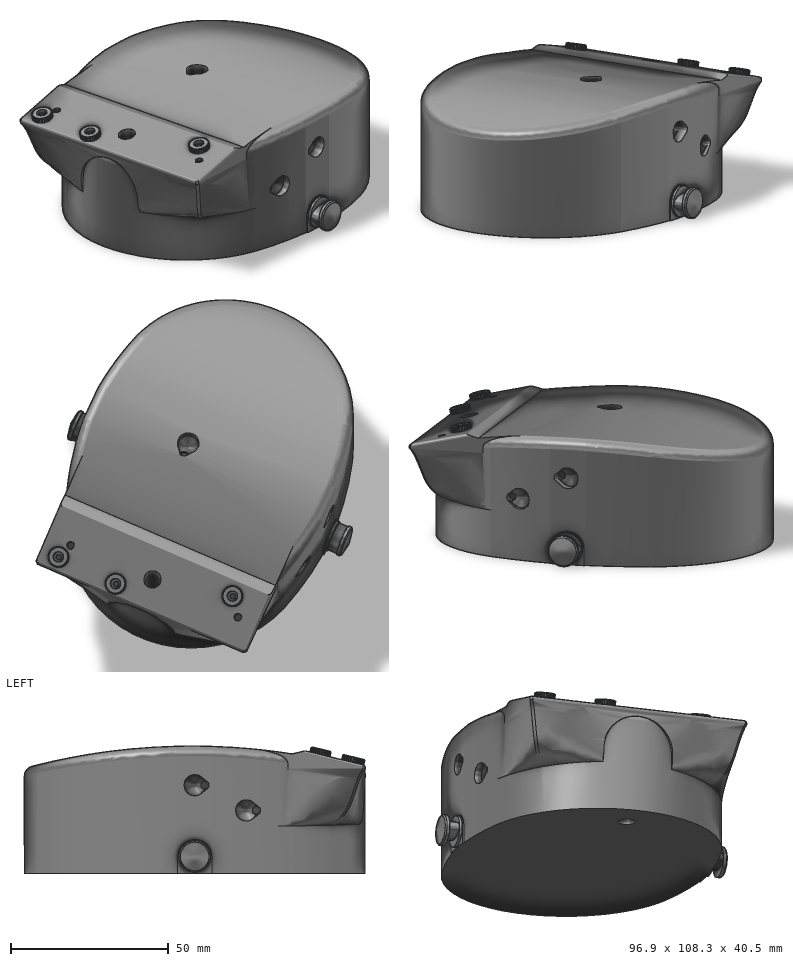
import cadquery as cq
import math

length = 108.3
height = 40.5
overall_width = 96.9
half_length = length / 2
half_width = 41.6
flat_half_length = 5.8
flank_end_y = 26.6
flank_radius = 102.9
nose_radius = 39.5
nose_center_y = half_length - nose_radius
flank_end_x = math.sqrt(nose_radius**2 - (flank_end_y - nose_center_y)**2)

crown_radius = 203.6
crown_y = 0.9
rim_fillet = 3.4

deck_half_width = 36.6
groove_y = -31.0
deck_rear_y = -35.0
deck_rear_z = 39.0
deck_front_z = 34.3
deck_fillet = 0.9
edge_margin = 0.2
block_bottom_z = 15.2
block_rear_y = -16.2
block_corner_x = 28.5
block_levels = 3
corner_flat = 0.8
arch_half_width = 11.6
arch_spring_z = 19.8
arch_top_z = 31.6
rise_exponent = 2.0

flare_drop = 1.1
block_top_z = deck_front_z - flare_drop
deck_slope = math.atan2(deck_rear_z - deck_front_z, deck_rear_y + half_length)

sockets = [(-30.3, -49.8), (-10.2, -50.5), (25.7, -39.7)]
socket_diameter = 6.1
socket_height = 1.7
socket_bore = 3.2
socket_pilot = 1.7
socket_pilot_depth = 1.1
tooth_count = 24
tooth_size = 0.5
tooth_drop = 0.2
small_holes = [(-28.4, -45.0), (29.8, -45.0)]
small_hole_diameter = 2.4
small_hole_depth = 3.2
through_hole_y = -44.7
through_hole_diameter = 5.4
through_hole_tilt = 3.5

key_hole_diameter = 6.7
key_hole_depth = 3.2
key_point_depth = 1.6
key_clearance = 2.2
key_pin_diameter = 2.6
key_pin_offset = 3.2
key_pin_depth = 5.4
side_holes = [(0.0, 28.0), (-16.4, 20.0)]
top_hole_x = -7.6

stud_z = 5.4
stud_root_x = half_width - 1.1
pad_radius = 5.4
pad_face_x = 42.0
collar_diameter = 10.1
collar_face_x = 42.9
neck_length_y = 9.5
neck_length_z = 5.2
head_diameter = 10.0
head_inner_x = 46.1
head_rim_x = 47.5
head_tip_x = overall_width / 2
head_chamfer = 0.4


def crown_z(y):
    """Height of the arched top at a given Y."""
    drop = crown_radius - math.sqrt(crown_radius**2 - (y - crown_y)**2)
    return height - drop


def deck_z(y):
    """Height of the sloping deck at a given Y."""
    return deck_front_z + (y + half_length) * math.tan(deck_slope)


def nose_y(x):
    """Y of the front nose arc at a given X."""
    return -nose_center_y - math.sqrt(nose_radius**2 - x**2)


def make_crown():
    """Everything below the arched top surface."""
    return (
        cq.Workplane("YZ")
        .moveTo(-length, 0)
        .lineTo(-length, crown_z(-length))
        .threePointArc((crown_y, height), (length, crown_z(length)))
        .lineTo(length, 0)
        .close()
        .extrude(length, both=True)
    )


def make_housing():
    """Rounded body under the crowned top, with its rim filleted."""
    outline = (
        cq.Workplane("XY")
        .moveTo(half_width, -flat_half_length)
        .lineTo(half_width, flat_half_length)
        .radiusArc((flank_end_x, flank_end_y), -flank_radius)
        .threePointArc((0, half_length), (-flank_end_x, flank_end_y))
        .radiusArc((-half_width, flat_half_length), -flank_radius)
        .lineTo(-half_width, -flat_half_length)
        .radiusArc((-flank_end_x, -flank_end_y), -flank_radius)
        .threePointArc((0, -half_length), (flank_end_x, -flank_end_y))
        .radiusArc((half_width, -flat_half_length), -flank_radius)
        .close()
    )
    body = outline.extrude(length).intersect(make_crown())
    return body.faces(">Z").edges().fillet(rim_fillet)


def block_section(swing):
    """Plan section of the block; swing runs from 0 at its underside to 1 below the deck."""
    bottom_y = nose_y(block_corner_x)
    corner_x = block_corner_x + (deck_half_width - block_corner_x) * swing
    corner_y = bottom_y + (-half_length - bottom_y) * swing
    rear_x = flank_end_x + (deck_half_width - flank_end_x) * swing

    side_y = (corner_y - flank_end_y) / 2
    bulge_y = (bottom_y - flank_end_y) / 2
    bulge = math.sqrt(nose_radius**2 - (bulge_y + nose_center_y)**2) - (block_corner_x + flank_end_x) / 2
    side_x = (corner_x + rear_x) / 2 + bulge * (1 - swing)

    z = block_bottom_z + (block_top_z - block_bottom_z) * swing**rise_exponent
    section = (
        cq.Workplane("XY", origin=(0, 0, z))
        .moveTo(-rear_x, block_rear_y)
        .lineTo(rear_x, block_rear_y)
        .lineTo(rear_x, -flank_end_y)
        .spline([(side_x, side_y), (corner_x, corner_y + corner_flat)], includeCurrent=True)
        .lineTo(corner_x - corner_flat, corner_y)
        .spline([(0, -half_length), (corner_flat - corner_x, corner_y)], includeCurrent=True)
        .lineTo(-corner_x, corner_y + corner_flat)
        .spline([(-side_x, side_y), (-rear_x, -flank_end_y)], includeCurrent=True)
        .close()
    )
    return section.wires().val()


def make_block():
    """Overhanging block: flared underside, sloping deck and the arch that bares the nose."""
    sections = [block_section(i / block_levels) for i in range(block_levels + 1)]
    lower = cq.Workplane(cq.Solid.makeLoft(sections))
    upper = (
        cq.Workplane("YZ")
        .moveTo(-half_length, block_top_z)
        .lineTo(-half_length, deck_front_z)
        .lineTo(deck_rear_y, deck_rear_z)
        .lineTo(groove_y, crown_z(groove_y))
        .lineTo(groove_y, block_top_z)
        .close()
        .extrude(deck_half_width, both=True)
        .edges("|Z and <Y")
        .chamfer(corner_flat)
    )
    deck_region = cq.selectors.BoxSelector(
        (-length, deck_rear_y + deck_fillet, (block_top_z + deck_front_z) / 2 + edge_margin),
        (length, -length, height),
    )
    upper = upper.edges(deck_region).fillet(deck_fillet)

    bridge = (
        cq.Workplane("XY")
        .box(2 * deck_half_width, block_rear_y - groove_y, height, centered=(True, False, False))
        .translate((0, groove_y, block_top_z))
        .intersect(make_crown())
    )
    arch = (
        cq.Workplane("XZ", origin=(0, -nose_center_y, 0))
        .moveTo(-arch_half_width, 0)
        .lineTo(-arch_half_width, arch_spring_z)
        .threePointArc((0, arch_top_z), (arch_half_width, arch_spring_z))
        .lineTo(arch_half_width, 0)
        .close()
        .extrude(length)
    )
    return lower.union(upper).union(bridge).cut(arch)


def make_stud(side):
    """Strap stud on one side wall: pad, collar, flattened neck and domed head."""

    def disc(x_from, x_to, diameter):
        return (
            cq.Workplane("YZ", origin=(x_from, 0, stud_z))
            .circle(diameter / 2)
            .extrude(x_to - x_from)
        )

    pad_base = (
        cq.Workplane("XY")
        .box(pad_face_x - stud_root_x, 2 * pad_radius, stud_z, centered=(False, True, False))
        .translate((stud_root_x, 0, 0))
    )
    neck = (
        cq.Workplane("YZ", origin=(stud_root_x, 0, stud_z))
        .ellipse(neck_length_y / 2, neck_length_z / 2)
        .extrude(head_inner_x + head_chamfer - stud_root_x)
    )
    head_radius = head_diameter / 2
    head = (
        cq.Workplane("XZ")
        .moveTo(head_inner_x, 0)
        .lineTo(head_inner_x, head_radius)
        .lineTo(head_rim_x - head_chamfer, head_radius)
        .lineTo(head_rim_x, head_radius - head_chamfer)
        .lineTo(head_tip_x, 0)
        .close()
        .revolve(360, (0, 0, 0), (1, 0, 0))
        .translate((0, 0, stud_z))
    )
    stud = (
        disc(stud_root_x, pad_face_x, 2 * pad_radius)
        .union(pad_base)
        .union(disc(stud_root_x, collar_face_x, collar_diameter))
        .union(neck)
        .union(head)
    )
    if side > 0:
        return stud
    return stud.mirror("YZ")


def deck_plane(x, y):
    """Workplane lying on the deck with its normal pointing out of it."""
    normal = (0, -math.sin(deck_slope), math.cos(deck_slope))
    return cq.Plane(origin=(x, y, deck_z(y)), xDir=(1, 0, 0), normal=normal)


def make_socket(x, y):
    """Knurled collar standing on the deck."""
    collar = cq.Workplane(deck_plane(x, y)).circle(socket_diameter / 2).extrude(socket_height)
    teeth = (
        cq.Workplane(deck_plane(x, y))
        .polarArray(socket_diameter / 2, 0, 360, tooth_count)
        .rect(tooth_size, tooth_size)
        .extrude(socket_height - tooth_drop)
    )
    return collar.union(teeth)


def keyed_hole(plane):
    """Cutters for a teardrop pocket pointing to the local +X, its conical bottom and its pin hole."""
    radius = key_hole_diameter / 2
    pin_radius = key_pin_diameter / 2
    tangent = math.acos((radius - pin_radius) / key_pin_offset)
    tangent_x = math.cos(tangent)
    tangent_y = math.sin(tangent)
    pin_x = key_pin_offset + pin_radius * tangent_x
    teardrop = (
        cq.Workplane(plane)
        .workplane(offset=-key_hole_depth)
        .moveTo(radius * tangent_x, radius * tangent_y)
        .lineTo(pin_x, pin_radius * tangent_y)
        .threePointArc((key_pin_offset + pin_radius, 0), (pin_x, -pin_radius * tangent_y))
        .lineTo(radius * tangent_x, -radius * tangent_y)
        .threePointArc((-radius, 0), (radius * tangent_x, radius * tangent_y))
        .close()
        .extrude(key_hole_depth + key_clearance)
    )
    cone = cq.Solid.makeCone(
        radius, 0, key_point_depth, plane.origin - plane.zDir * key_hole_depth, -plane.zDir
    )
    pin_hole = (
        cq.Workplane(plane)
        .center(key_pin_offset, 0)
        .circle(pin_radius)
        .extrude(-key_pin_depth)
    )
    return [teardrop, cq.Workplane(cone), pin_hole]


def cut_keyed_hole(body, plane):
    """Body with one keyed hole cut into it."""
    for cutter in keyed_hole(plane):
        body = body.cut(cutter)
    return body


result = make_housing().union(make_block())

for side in (-1, 1):
    result = result.union(make_stud(side))
    for hole_y, hole_z in side_holes:
        wall = cq.Plane(origin=(side * half_width, hole_y, hole_z), xDir=(0, -1, 0), normal=(side, 0, 0))
        result = cut_keyed_hole(result, wall)

top_plane = cq.Plane(origin=(top_hole_x, 0, height), xDir=(0, -1, 0), normal=(0, 0, 1))
result = cut_keyed_hole(result, top_plane)

for x, y in sockets:
    result = result.union(make_socket(x, y))
    bore = cq.Workplane(deck_plane(x, y)).circle(socket_bore / 2).extrude(socket_height)
    pilot = cq.Workplane(deck_plane(x, y)).circle(socket_pilot / 2).extrude(-socket_pilot_depth)
    result = result.cut(bore).cut(pilot)

for x, y in small_holes:
    pocket = cq.Workplane(deck_plane(x, y)).circle(small_hole_diameter / 2).extrude(-small_hole_depth)
    result = result.cut(pocket)

tilt = math.radians(through_hole_tilt)
bore_plane = cq.Plane(
    origin=(0, through_hole_y, deck_z(through_hole_y)),
    xDir=(1, 0, 0),
    normal=(0, -math.sin(tilt), math.cos(tilt)),
)
through_bore = cq.Workplane(bore_plane).circle(through_hole_diameter / 2).extrude(length, both=True)
result = result.cut(through_bore)